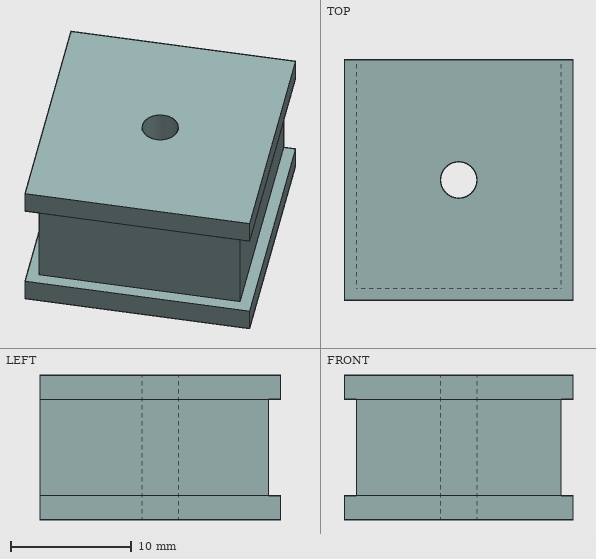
import cadquery as cq

width = 19.0
depth = 20.0
height = 12.0

flange_thickness = 2.0
core_inset = 1.0
hole_diameter = 3.0

core_width = width - 2 * core_inset
core_depth = depth - core_inset
core_height = height - 2 * flange_thickness


def flange(bottom_z):
    """Full-size end plate with its underside at bottom_z."""
    plate = cq.Workplane("XY").box(width, depth, flange_thickness, centered=(True, True, False))
    return plate.translate((0, 0, bottom_z))


core = (
    cq.Workplane("XY")
    .box(core_width, core_depth, core_height, centered=(True, True, False))
    .translate((0, core_inset / 2, flange_thickness))
)

hole = cq.Workplane("XY").circle(hole_diameter / 2).extrude(height)

result = core.union(flange(0)).union(flange(height - flange_thickness)).cut(hole)